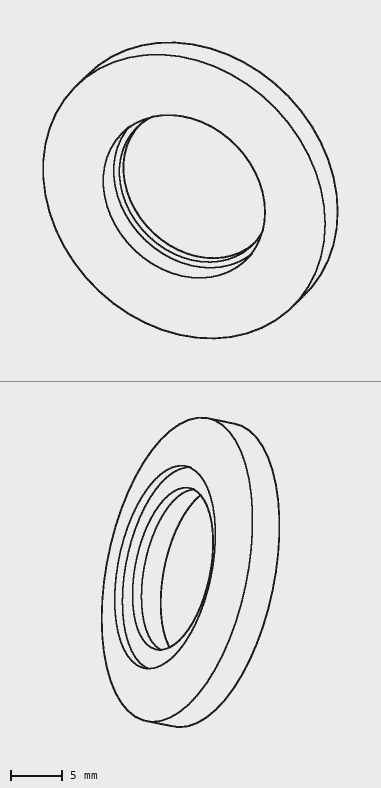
import cadquery as cq
import math

outer_diameter = 30.0
rim_width = 3.0
recess_diameter = 20.0
cone_angle = 15.0
bore_diameter = 17.2
bore_depth = 2.5
lip_diameter = 16.0
lip_width = 1.0

outer_radius = outer_diameter / 2
recess_radius = recess_diameter / 2
bore_radius = bore_diameter / 2
lip_radius = lip_diameter / 2
cone_height = (outer_radius - recess_radius) * math.tan(math.radians(cone_angle))
total_width = rim_width + cone_height
half_width = total_width / 2
front = -half_width
back = half_width
rim_back = front + rim_width
lip_front = front + bore_depth
lip_back = lip_front + lip_width

section = (
    cq.Workplane("XY")
    .moveTo(bore_radius, front)
    .lineTo(outer_radius, front)
    .lineTo(outer_radius, rim_back)
    .lineTo(recess_radius, back)
    .lineTo(recess_radius, lip_back)
    .lineTo(lip_radius, lip_back)
    .lineTo(lip_radius, lip_front)
    .lineTo(bore_radius, lip_front)
    .close()
)

result = section.revolve(360, (0, 0, 0), (0, 1, 0))